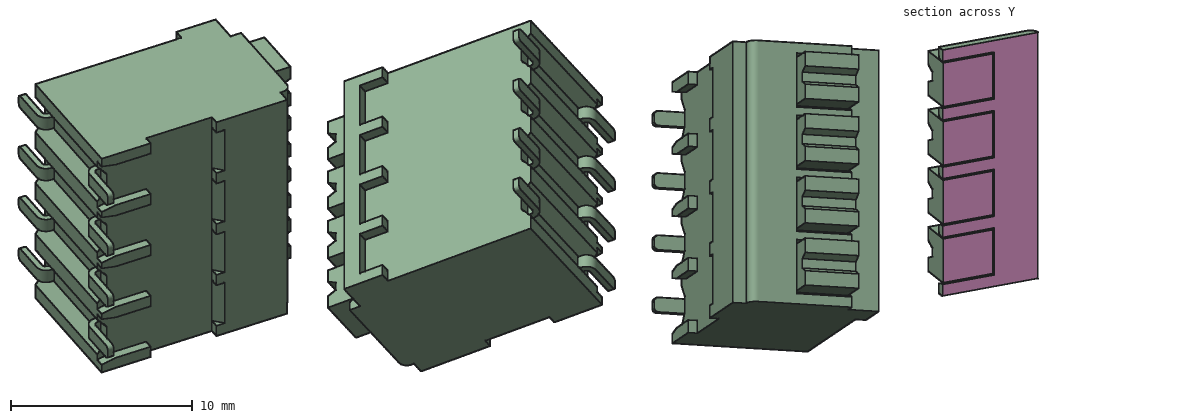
import cadquery as cq

height = 14.7
poles = 4
pitch = 3.5
overlap = 0.3

half_width = 3.63
front_y = 0.19
shoulder_y = 11.76
head_y = 12.42
head_left = -2.48
head_right = 3.38
head_radius = 0.49

groove_depth = 0.6
groove_floor = 0.95
groove_mouth = 2.4

rib_width = 0.72
left_rail_x = -4.23
left_rail_y = 10.76
left_rib_y = 9.3
right_rail_x = 4.16
right_rail_y = 7.35
foot_back_y = 3.25
foot_tip_width = 0.37
foot_taper_length = 0.88
end_foot_square = (height - poles * pitch + foot_tip_width) / 2

lever_left = -2.44
lever_right = 0.63
lever_tip_y = 13.85
lever_width = 2.65
notch_depth = 0.51
notch_mouth = 1.03
notch_floor = 0.53
slot_width = pitch - rib_width
slot_clearance = 0.05
slot_chamfer_depth = 0.28
slot_chamfer_width = 0.13

pin_reach = 5.25
pin_width = 0.82
pin_thickness = 0.37
pin_bend_radius = 0.6
pin_leg_x = 2.55
pin_corner = 0.24

pole_heights = [pitch * (i - (poles - 1) / 2) for i in range(poles)]
rib_heights = [pitch * (i - poles / 2) for i in range(poles + 1)]


def box(x0, x1, y0, y1, z0, z1):
    return cq.Workplane("XY").box(x1 - x0, y1 - y0, z1 - z0, centered=False).translate((x0, y0, z0))


def full_height_box(x0, x1, y0, y1):
    return box(x0, x1, y0, y1, -height / 2, height / 2)


def extrude_along_x(points, x0, x1):
    """Close the (y, z) outline and extrude it from x0 to x1."""
    return cq.Workplane("YZ").workplane(offset=x0).polyline(points).close().extrude(x1 - x0)


def make_housing():
    core = full_height_box(-half_width, half_width, front_y, shoulder_y)
    head = full_height_box(head_left, head_right, shoulder_y - overlap, head_y)
    head = head.edges("|Z and >X and >Y").fillet(head_radius)
    return core.union(head)


def make_groove(z):
    floor_y = front_y + groove_depth
    outline = [
        (front_y, z - groove_mouth / 2),
        (floor_y, z - groove_floor / 2),
        (floor_y, z + groove_floor / 2),
        (front_y, z + groove_mouth / 2),
    ]
    return extrude_along_x(outline, -half_width, half_width)


def make_rib(x0, x1, rib_front_y, z):
    return box(x0, x1, rib_front_y, shoulder_y, z - rib_width / 2, z + rib_width / 2)


def make_right_rail():
    """Right side rail whose front end is a 45 degree ramp between the ribs."""
    ramp_end_y = right_rail_y + right_rail_x - half_width
    outline = [
        (half_width - overlap, right_rail_y),
        (half_width, right_rail_y),
        (right_rail_x, ramp_end_y),
        (right_rail_x, shoulder_y),
        (half_width - overlap, shoulder_y),
    ]
    return cq.Workplane("XY").workplane(offset=-height / 2).polyline(outline).close().extrude(height)


def make_right_foot(z):
    """Rib at the front of the right side, tapering towards its front end."""
    taper_end_y = front_y + foot_taper_length
    outline = [
        (front_y, z - foot_tip_width / 2),
        (taper_end_y, z - rib_width / 2),
        (foot_back_y, z - rib_width / 2),
        (foot_back_y, z + rib_width / 2),
        (taper_end_y, z + rib_width / 2),
        (front_y, z + foot_tip_width / 2),
    ]
    return extrude_along_x(outline, half_width - overlap, right_rail_x)


def make_slot(z):
    """Lever slot in the head, with a chamfered mouth."""
    mouth_width = slot_width + 2 * slot_chamfer_width
    chamfer_y = head_y - slot_chamfer_depth
    outline = [
        (shoulder_y, z - slot_width / 2),
        (chamfer_y, z - slot_width / 2),
        (head_y, z - mouth_width / 2),
        (head_y, z + mouth_width / 2),
        (chamfer_y, z + slot_width / 2),
        (shoulder_y, z + slot_width / 2),
    ]
    return extrude_along_x(outline, head_left, lever_right + slot_clearance)


def make_lever(z):
    root_y = shoulder_y - overlap
    notch_y = lever_tip_y - notch_depth
    outline = [
        (root_y, z - lever_width / 2),
        (lever_tip_y, z - lever_width / 2),
        (lever_tip_y, z - notch_mouth / 2),
        (notch_y, z - notch_floor / 2),
        (notch_y, z + notch_floor / 2),
        (lever_tip_y, z + notch_mouth / 2),
        (lever_tip_y, z + lever_width / 2),
        (root_y, z + lever_width / 2),
    ]
    return extrude_along_x(outline, lever_left, lever_right)


def make_right_pin(z):
    """Leg out of the groove floor, bent outwards into a flat pad."""
    leg_end_y = front_y + groove_depth + overlap
    pin = (
        cq.Workplane("XY")
        .moveTo(pin_leg_x, leg_end_y)
        .lineTo(pin_leg_x, pin_bend_radius)
        .radiusArc((pin_leg_x + pin_bend_radius, 0), -pin_bend_radius)
        .lineTo(pin_reach, 0)
        .lineTo(pin_reach, pin_thickness)
        .lineTo(pin_leg_x + pin_bend_radius, pin_thickness)
        .radiusArc((pin_leg_x + pin_thickness, pin_bend_radius), pin_bend_radius - pin_thickness)
        .lineTo(pin_leg_x + pin_thickness, leg_end_y)
        .close()
        .extrude(pin_width)
    )
    return pin.edges("|Y and >X").fillet(pin_corner).translate((0, 0, z - pin_width / 2))


body = make_housing()
body = body.union(full_height_box(left_rail_x, overlap - half_width, left_rail_y, shoulder_y))
body = body.union(make_right_rail())
for z in rib_heights:
    body = body.union(make_rib(left_rail_x, overlap - half_width, left_rib_y, z))
    body = body.union(make_rib(half_width - overlap, right_rail_x, right_rail_y, z))
    body = body.union(make_right_foot(z))
for edge_z in (-height / 2, height / 2 - end_foot_square):
    end_block = box(half_width - overlap, right_rail_x, front_y, foot_back_y, edge_z, edge_z + end_foot_square)
    body = body.union(end_block)
body = body.intersect(full_height_box(left_rail_x, right_rail_x, front_y, head_y))

for z in pole_heights:
    body = body.cut(make_groove(z))
    body = body.cut(make_slot(z))
for z in pole_heights:
    body = body.union(make_lever(z))
    right_pin = make_right_pin(z)
    body = body.union(right_pin)
    body = body.union(right_pin.mirror("YZ"))

result = body